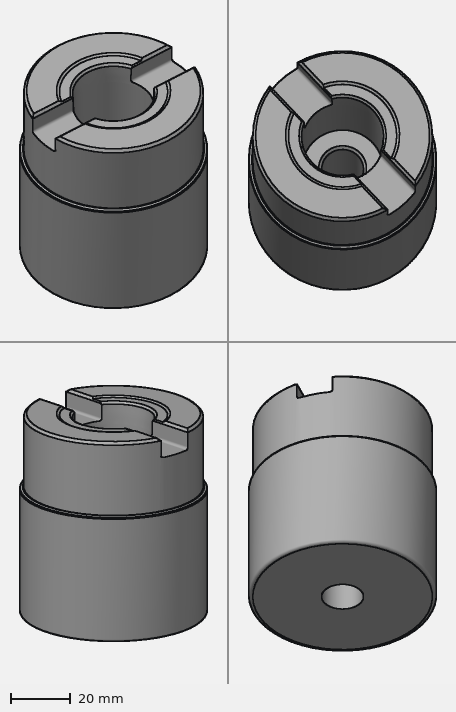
import cadquery as cq

total_height = 70.0
edge_break = 1.0
core_diameter = 60.0

sleeve_diameter = 62.8
sleeve_height = 44.25
bevel_width = 0.85
bevel_drop = 0.4
rim_break_width = 0.2
rim_break_drop = 0.4

recess_top_radius = 19.05
recess_floor_radius = recess_top_radius - edge_break
recess_depth = 0.5
bore_diameter = 27.0
lead_in_radius = 13.7
lead_in_bottom = 61.75
mouth_radius = 14.55
bore_floor = total_height / 2
hole_diameter = 14.0

slot_width = 12.45
slot_depth = 7.0


def revolve_profile(points):
    """Solid of revolution about Z from (radius, height) points."""
    return cq.Workplane("XZ").polyline(points).close().revolve(360, (0, 0), (0, 1))


def make_bore():
    """Stepped cavity from the recess ring down through the bottom face."""
    bore_radius = bore_diameter / 2
    hole_radius = hole_diameter / 2
    recess_floor = total_height - recess_depth
    mouth_bottom = recess_floor - (mouth_radius - lead_in_radius)
    return revolve_profile([
        (0, 0),
        (hole_radius, 0),
        (hole_radius, bore_floor - edge_break),
        (hole_radius + edge_break, bore_floor),
        (bore_radius, bore_floor),
        (bore_radius, lead_in_bottom),
        (lead_in_radius, mouth_bottom),
        (mouth_radius, recess_floor),
        (recess_floor_radius, recess_floor),
        (recess_top_radius, total_height),
        (0, total_height),
    ])


def make_slot():
    """Slot along Y with rounded floor corners and chamfered top edges."""
    half_width = slot_width / 2
    chamfer_bottom = total_height - edge_break
    channel = (
        cq.Workplane("XY", origin=(0, 0, total_height - slot_depth))
        .rect(slot_width, sleeve_diameter)
        .extrude(slot_depth)
        .faces("<Z").edges("|Y").fillet(edge_break)
    )
    flare = (
        cq.Workplane("XZ")
        .polyline([
            (-half_width, chamfer_bottom),
            (half_width, chamfer_bottom),
            (half_width + edge_break, total_height),
            (-half_width - edge_break, total_height),
        ])
        .close()
        .extrude(sleeve_diameter / 2, both=True)
    )
    return channel.union(flare)


def make_core():
    """Slotted cylinder with the stepped bore."""
    blank = cq.Workplane("XY").circle(core_diameter / 2).extrude(total_height)
    blank = blank.faces(">Z").edges().chamfer(edge_break)
    return blank.cut(make_bore()).cut(make_slot())


def make_sleeve():
    """Thin ring fitted around the lower part of the core."""
    inner_radius = core_diameter / 2
    outer_radius = sleeve_diameter / 2
    rim_radius = outer_radius - rim_break_width
    rim_height = sleeve_height - bevel_drop
    ring = revolve_profile([
        (inner_radius, 0),
        (outer_radius, 0),
        (outer_radius, rim_height - rim_break_drop),
        (rim_radius, rim_height),
        (rim_radius - bevel_width, sleeve_height),
        (inner_radius, sleeve_height),
    ])
    return ring.faces("<Z").edges("%CIRCLE").edges(cq.selectors.RadiusNthSelector(-1)).fillet(edge_break)


core = make_core()
sleeve = make_sleeve()

result = cq.Compound.makeCompound([core.val(), sleeve.val()])